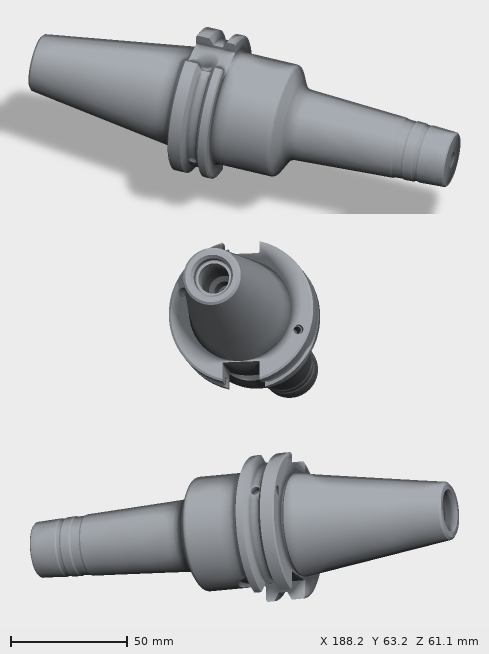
import cadquery as cq
import math

total_length = 188.2
gauge_x = 68.1
gauge_radius = 22.4
taper_rate = 7 / 48
shank_chamfer = 1.0
undercut_radius = 21.8
undercut_slope_length = 0.5

flange_front_x = 69.5
flange_back_x = 87.2
flange_radius = 31.6
flange_chamfer_length = 0.5
flange_chamfer_width = 1.0
groove_center_x = 79.5
groove_floor_radius = 28.15
groove_floor_width = 4.0
groove_flank_angle = 30.0

body_radius = 24.75
body_flange_fillet = 1.0
shoulder_corner_x = 113.1
shoulder_angle = 60.0
shoulder_fillet = 2.0
nose_root_fillet = 4.3
nose_tip_radius = 12.0
nose_angle = 3.0
nose_chamfer = 0.5

marking_bands = [(164.5, 170.0), (173.8, 176.5)]
band_depth = 0.4
band_chamfer = 0.8

counterbore_diameter = 16.4
counterbore_depth = 5.0
counterbore_chamfer_width = 1.1
counterbore_chamfer_length = 1.9
thread_diameter = 13.4
thread_depth = 30.1
thread_end_angle = 60.0
pilot_diameter = 9.0
pilot_length = 7.5
coolant_bore_diameter = 7.0

slot_width = 16.2
upper_slot_floor = 25.2
lower_slot_floor = 22.4
lower_slot_end_x = 96.4
slot_corner_radius = 0.5

dimple_x = 77.2
dimple_diameter = 10.0
dimple_point_angle = 118.0

outlet_angles = [20.0, 200.0]
outlet_circle_radius = 26.83
outlet_diameter = 4.1
outlet_depth = 3.4
channel_diameter = 3.2
channel_depth = 15.0
outlet_tilt = 20.0
plug_hole_diameter = 4.0
plug_hole_depth = 3.0


def tan_deg(angle):
    return math.tan(math.radians(angle))


def revolve_profile(points):
    """Revolve a closed outline of (x, radius) points about the X axis."""
    return cq.Workplane("XY").polyline(points).close().revolve(360, (0, 0, 0), (1, 0, 0))


def make_shank():
    tip_radius = gauge_radius - gauge_x * taper_rate
    return revolve_profile([
        (0, 0),
        (0, tip_radius - shank_chamfer),
        (shank_chamfer, tip_radius + shank_chamfer * taper_rate),
        (gauge_x, gauge_radius),
        (gauge_x + undercut_slope_length, undercut_radius),
        (flange_front_x, undercut_radius),
        (flange_front_x, 0),
    ])


def make_flange():
    half_floor = groove_floor_width / 2
    half_mouth = half_floor + (flange_radius - groove_floor_radius) * tan_deg(groove_flank_angle)
    rim_radius = flange_radius - flange_chamfer_width
    return revolve_profile([
        (flange_front_x, 0),
        (flange_front_x, rim_radius),
        (flange_front_x + flange_chamfer_length, flange_radius),
        (groove_center_x - half_mouth, flange_radius),
        (groove_center_x - half_floor, groove_floor_radius),
        (groove_center_x + half_floor, groove_floor_radius),
        (groove_center_x + half_mouth, flange_radius),
        (flange_back_x - flange_chamfer_length, flange_radius),
        (flange_back_x, rim_radius),
        (flange_back_x, 0),
    ])


def nose_radius_at(x):
    return nose_tip_radius + (total_length - x) * tan_deg(nose_angle)


def make_body_and_nose():
    shoulder_slope = tan_deg(shoulder_angle)
    nose_slope = tan_deg(nose_angle)
    nose_drop = body_radius - nose_radius_at(shoulder_corner_x)
    nose_root_x = shoulder_corner_x + nose_drop / (shoulder_slope - nose_slope)
    body = revolve_profile([
        (flange_back_x, 0),
        (flange_back_x, body_radius),
        (shoulder_corner_x, body_radius),
        (nose_root_x, nose_radius_at(nose_root_x)),
        (total_length, nose_tip_radius),
        (total_length, 0),
    ])

    def circle_edge_at(x):
        return cq.selectors.BoxSelector(
            (x - 0.2, -body_radius - 1.9, -body_radius - 1.9),
            (x + 0.2, body_radius + 1.9, body_radius + 1.9),
            boundingbox=True,
        )

    body = body.edges(circle_edge_at(shoulder_corner_x)).fillet(shoulder_fillet)
    body = body.edges(circle_edge_at(nose_root_x)).fillet(nose_root_fillet)
    return body.faces(">X").edges().chamfer(nose_chamfer)


def make_flange_fillet():
    """Concave fillet ring where the body leaves the flange."""
    outer = body_radius + body_flange_fillet
    end_x = flange_back_x + body_flange_fillet
    arc_reach = body_flange_fillet * (1 - math.sqrt(0.5))
    return (
        cq.Workplane("XY")
        .moveTo(flange_back_x, 0)
        .lineTo(flange_back_x, outer)
        .threePointArc((flange_back_x + arc_reach, body_radius + arc_reach), (end_x, body_radius))
        .lineTo(end_x, 0)
        .close()
        .revolve(360, (0, 0, 0), (1, 0, 0))
    )


def make_marking_band(start, end):
    """Shallow band whose floor follows the nose taper."""
    floor_start = start + band_chamfer
    floor_end = end - band_chamfer
    return revolve_profile([
        (start, body_radius),
        (start, nose_radius_at(start)),
        (floor_start, nose_radius_at(floor_start) - band_depth),
        (floor_end, nose_radius_at(floor_end) - band_depth),
        (end, nose_radius_at(end)),
        (end, body_radius),
    ])


def make_bore():
    counterbore_radius = counterbore_diameter / 2
    thread_radius = thread_diameter / 2
    pilot_radius = pilot_diameter / 2
    coolant_radius = coolant_bore_diameter / 2
    pilot_start = thread_depth + (thread_radius - pilot_radius) / tan_deg(thread_end_angle)
    pilot_end = pilot_start + pilot_length
    return revolve_profile([
        (0, 0),
        (0, counterbore_radius + counterbore_chamfer_width),
        (counterbore_chamfer_length, counterbore_radius),
        (counterbore_depth, counterbore_radius),
        (counterbore_depth, thread_radius),
        (thread_depth, thread_radius),
        (pilot_start, pilot_radius),
        (pilot_end, pilot_radius),
        (pilot_end, coolant_radius),
        (total_length, coolant_radius),
        (total_length, 0),
    ])


def make_upper_slot():
    slot = cq.Workplane("XY", origin=(flange_front_x, 0, upper_slot_floor)).box(
        flange_back_x + body_flange_fillet - flange_front_x,
        slot_width,
        flange_radius,
        centered=(False, True, False),
    )
    return slot.faces("<Z").edges("|X").fillet(slot_corner_radius)


def make_lower_slot():
    """Deeper slot that runs out into the body with a round end."""
    half_width = slot_width / 2
    end_center_x = lower_slot_end_x - half_width
    return (
        cq.Workplane("XY", origin=(0, 0, -lower_slot_floor))
        .moveTo(flange_front_x, -half_width)
        .lineTo(end_center_x, -half_width)
        .threePointArc((lower_slot_end_x, 0), (end_center_x, half_width))
        .lineTo(flange_front_x, half_width)
        .close()
        .extrude(-flange_radius)
    )


def make_dimple():
    radius = dimple_diameter / 2
    depth = radius / tan_deg(dimple_point_angle / 2)
    apex = cq.Vector(dimple_x, 0, upper_slot_floor - depth)
    return cq.Workplane(obj=cq.Solid.makeCone(0, radius, depth, apex, cq.Vector(0, 0, 1)))


def make_coolant_outlet(angle):
    """Tilted, stepped outlet in the flange face with a radial plug hole in the groove floor."""
    axial = cq.Vector(1, 0, 0)
    radial = cq.Vector(0, math.cos(math.radians(angle)), math.sin(math.radians(angle)))
    tilt = math.radians(outlet_tilt)
    inward = axial * math.cos(tilt) - radial * math.sin(tilt)
    mouth = axial * flange_front_x + radial * outlet_circle_radius
    start = mouth - inward * outlet_diameter
    outlet = cq.Solid.makeCylinder(outlet_diameter / 2, outlet_diameter + outlet_depth, start, inward)
    channel = cq.Solid.makeCylinder(channel_diameter / 2, channel_depth, mouth, inward)

    plug_bottom = axial * groove_center_x + radial * (groove_floor_radius - plug_hole_depth)
    plug_hole = cq.Solid.makeCylinder(plug_hole_diameter / 2, 2 * plug_hole_depth, plug_bottom, radial)
    return cq.Workplane(obj=outlet).union(cq.Workplane(obj=channel)).union(cq.Workplane(obj=plug_hole))


result = make_shank().union(make_flange()).union(make_body_and_nose()).union(make_flange_fillet())
for band_start, band_end in marking_bands:
    result = result.cut(make_marking_band(band_start, band_end))
result = result.cut(make_bore())
result = result.cut(make_upper_slot()).cut(make_lower_slot()).cut(make_dimple())
for outlet_angle in outlet_angles:
    result = result.cut(make_coolant_outlet(outlet_angle))